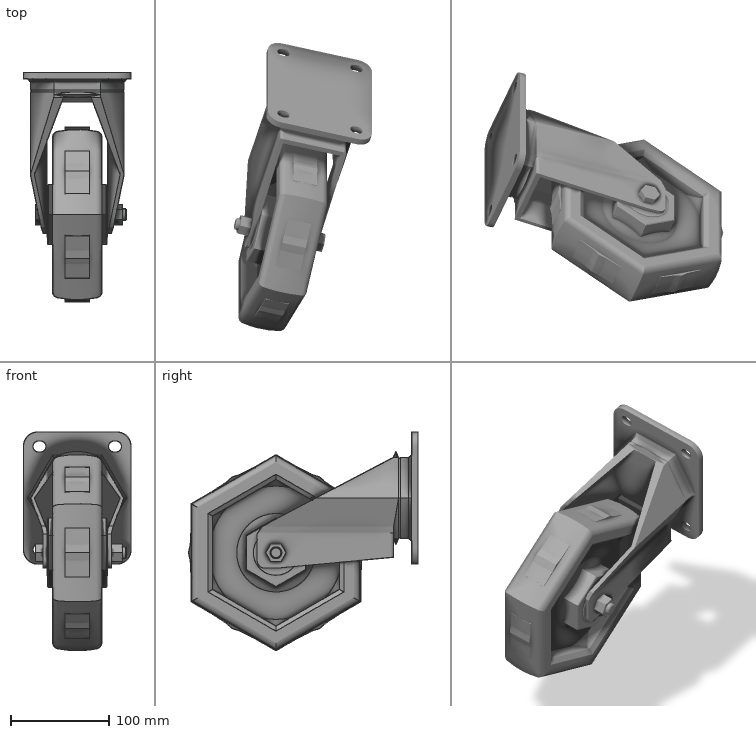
import math

import cadquery as cq


PLATE_WIDTH = 110.0
PLATE_HEIGHT = 135.0
PLATE_THICKNESS = 6.7
PLATE_CORNER_RADIUS = 15.0
PLATE_BACK_Y = 145.0
PLATE_TOP_Z = 123.32
SLOT_LENGTH = 13.0
SLOT_WIDTH = 11.0
SLOT_PITCH_X = 77.0
SLOT_PITCH_Z = 105.0

SWIVEL_Z = PLATE_TOP_Z - PLATE_HEIGHT / 2
PLATE_FRONT_Y = PLATE_BACK_Y - PLATE_THICKNESS

RACEWAY_RADIUS = 47.8
RACEWAY_FLARE_RADIUS = 50.5
RACEWAY_FLARE_DEPTH = 3.2
RACEWAY_LAND_DEPTH = 8.0
RACEWAY_NECK_RADIUS = 47.0
RACEWAY_NECK_DEPTH = 2.0

CROWN_BACK_Y = PLATE_FRONT_Y - RACEWAY_FLARE_DEPTH - RACEWAY_LAND_DEPTH - RACEWAY_NECK_DEPTH
CROWN_THICKNESS = 5.5
CROWN_FRONT_Y = CROWN_BACK_Y - CROWN_THICKNESS
CROWN_LIP_RADIUS = 47.5
LEG_INNER_X = 31.0
LEG_OUTER_X = 35.0
LEG_BEND_INNER_Z = 24.0
LEG_BEND_OUTER_X = 36.4
LEG_BEND_OUTER_Z = 26.5
LEG_BEND_LOWER_Z = 20.2
SHELL_INNER_X = 43.7
SHELL_TOP_INNER_X = 14.0
LEG_BOTTOM_Z = -15.8
LEG_HEEL_Z = -4.7
LEG_END_Y = -19.2
LEG_BACK_Y = 120.0
LEG_BACK_CORNER_RADIUS = 3.0
APRON_THICKNESS = 5.3
LEG_NOSE_Y = -13.8
LEG_NOSE_Z = 27.2
LEG_NOSE_BEVEL_Z = 19.2
LEG_TOE_RADIUS = 8.0

TYRE_RADIUS = 100.0
TYRE_SHOULDER_RADIUS = 98.2
TYRE_SHOULDER_X = 18.9
TYRE_ARC_MID_RADIUS = 96.0
TYRE_ARC_MID_X = 23.2
TYRE_SIDE_RADIUS = 92.0
WHEEL_HALF_WIDTH = 25.2
RIM_RADIUS = 80.0
RIM_LIP_RADIUS = 74.8
RIM_LIP_X = 20.7
WEB_HALF_THICKNESS = 9.5
WEB_EDGE_RADIUS = 68.0
WEB_SLOPE_TOP_X = 17.8
HUB_RADIUS = 35.5
HUB_HALF_LENGTH = 30.2
HUB_CHAMFER = 0.8
HUB_ROOT_RADIUS = 40.0
HUB_ROOT_TOP_RADIUS = 31.0
HUB_ROOT_TOP_X = 14.2

LUG_WIDTH = 25.0
LUG_HALF_LENGTH = 25.0
LUG_PEAK_RADIUS = 89.28
LUG_SHOULDER_RADIUS = 87.5
LUG_SHOULDER_HALF_LENGTH = 8.0

AXLE_RADIUS = 6.0
AXLE_END_X = 50.1
AXLE_END_CHAMFER = 1.0
WRENCH_SIZE = 18.0
HEAD_HEIGHT = 7.7
NUT_HEIGHT = 11.1
WASHER_RADIUS = 23.0

SIDES = 6
SIDE_ANGLE = 360.0 / SIDES
FLAT_RATIO = math.cos(math.pi / SIDES)


def plane_across_swivel(y):
    """Plane square to the swivel axis at y, with its normal toward -Y."""
    return cq.Workplane("XZ", origin=(0, y, SWIVEL_Z))


def hexagon_frustum(back_y, front_y, back_radius, front_radius):
    """Hexagonal block along the swivel axis, with corners toward +X and -X."""
    return (
        plane_across_swivel(back_y)
        .polygon(SIDES, 2 * back_radius)
        .workplane(offset=back_y - front_y)
        .polygon(SIDES, 2 * front_radius)
        .loft(ruled=True)
    )


def axle_cylinder(start_x, end_x, radius):
    return cq.Workplane("YZ", origin=(start_x, 0, 0)).circle(radius).extrude(end_x - start_x)


def axle_hexagon(start_x, end_x):
    """Hexagonal wrench block along the axle, with corners toward +Y and -Y."""
    corner_diameter = WRENCH_SIZE / FLAT_RATIO
    return cq.Workplane("YZ", origin=(start_x, 0, 0)).polygon(SIDES, corner_diameter).extrude(end_x - start_x)


def around_wheel(side):
    """Six copies of one wheel side, joined."""
    ring = side
    for index in range(1, SIDES):
        ring = ring.union(side.rotate((0, 0, 0), (1, 0, 0), index * SIDE_ANGLE))
    return ring


def hexagon_ring(profile):
    """Mitred hexagonal ring about the axle from a closed profile of x and flat distance."""
    reach = 2 * TYRE_RADIUS
    half_base = reach * math.tan(math.pi / SIDES)
    wedge = (
        cq.Workplane("YZ", origin=(-reach / 2, 0, 0))
        .polyline([(0, 0), (reach, -half_base), (reach, half_base)])
        .close()
        .extrude(reach)
    )
    return around_wheel(profile.extrude(reach, both=True).intersect(wedge))


def flat(radius):
    """Distance from the axle to a flat for a given corner radius."""
    return radius * FLAT_RATIO


def make_plate():
    plate = plane_across_swivel(PLATE_BACK_Y).rect(PLATE_WIDTH, PLATE_HEIGHT).extrude(PLATE_THICKNESS)
    plate = plate.edges("|Y").fillet(PLATE_CORNER_RADIUS)
    slots = (
        plane_across_swivel(PLATE_BACK_Y)
        .rect(SLOT_PITCH_X, SLOT_PITCH_Z, forConstruction=True)
        .vertices()
        .slot2D(SLOT_LENGTH, SLOT_WIDTH)
        .extrude(PLATE_THICKNESS)
    )
    return plate.cut(slots)


def make_raceway():
    flare_end_y = PLATE_FRONT_Y - RACEWAY_FLARE_DEPTH
    land_end_y = flare_end_y - RACEWAY_LAND_DEPTH
    flare = hexagon_frustum(PLATE_FRONT_Y, flare_end_y, RACEWAY_FLARE_RADIUS, RACEWAY_RADIUS)
    land = hexagon_frustum(flare_end_y, land_end_y, RACEWAY_RADIUS, RACEWAY_RADIUS)
    neck = hexagon_frustum(land_end_y, CROWN_BACK_Y, RACEWAY_NECK_RADIUS, RACEWAY_NECK_RADIUS)
    return flare.union(land).union(neck)


def make_crown():
    """Hexagonal fork crown with a pointed lip along its upper and lower flats."""
    crown = hexagon_frustum(CROWN_BACK_Y, CROWN_FRONT_Y, RACEWAY_RADIUS, RACEWAY_RADIUS)
    root_radius = flat(RACEWAY_RADIUS)
    mid_y = (CROWN_BACK_Y + CROWN_FRONT_Y) / 2
    lip = (
        cq.Workplane("XY", origin=(0, 0, SWIVEL_Z))
        .polyline([(0, CROWN_FRONT_Y), (root_radius, CROWN_FRONT_Y), (CROWN_LIP_RADIUS, mid_y),
                   (root_radius, CROWN_BACK_Y), (0, CROWN_BACK_Y)])
        .close()
        .revolve(360, (0, 0, 0), (0, 1, 0))
    )
    lip_length = RACEWAY_RADIUS
    lip_band = plane_across_swivel(CROWN_BACK_Y).rect(lip_length, PLATE_HEIGHT).extrude(CROWN_THICKNESS)
    return crown.union(lip.intersect(lip_band))


def leg_side_outline():
    """Fork leg seen along X: sloped upper edge, blunt nose and tapered lower edge."""
    top_z = SWIVEL_Z + flat(RACEWAY_RADIUS)
    return (
        cq.Workplane("YZ")
        .moveTo(CROWN_BACK_Y, SWIVEL_Z)
        .lineTo(CROWN_BACK_Y, top_z)
        .lineTo(CROWN_FRONT_Y, top_z)
        .lineTo(LEG_NOSE_Y, LEG_NOSE_Z)
        .lineTo(LEG_END_Y, LEG_NOSE_BEVEL_Z)
        .lineTo(LEG_END_Y, LEG_BOTTOM_Z + LEG_TOE_RADIUS)
        .radiusArc((LEG_END_Y + LEG_TOE_RADIUS, LEG_BOTTOM_Z), -LEG_TOE_RADIUS)
        .lineTo(0, LEG_BOTTOM_Z)
        .lineTo(LEG_BACK_Y, LEG_HEEL_Z)
        .lineTo(LEG_BACK_Y, LEG_BEND_OUTER_Z)
        .close()
    )


def make_leg():
    """Leg on the +X side: a bent sheet trimmed to the side outline."""
    top_z = SWIVEL_Z + flat(RACEWAY_RADIUS)
    length = CROWN_BACK_Y - LEG_END_Y
    sheet = (
        cq.Workplane("XZ", origin=(0, CROWN_BACK_Y, 0))
        .polyline([
            (LEG_INNER_X, LEG_BOTTOM_Z),
            (LEG_OUTER_X, LEG_BOTTOM_Z),
            (LEG_OUTER_X, LEG_BEND_LOWER_Z),
            (LEG_BEND_OUTER_X, LEG_BEND_OUTER_Z),
            (RACEWAY_RADIUS, SWIVEL_Z),
            (RACEWAY_RADIUS / 2, top_z),
            (SHELL_TOP_INNER_X, top_z),
            (SHELL_INNER_X, SWIVEL_Z),
            (LEG_INNER_X, LEG_BEND_INNER_Z),
        ])
        .close()
        .extrude(length)
    )
    return sheet.intersect(leg_side_outline().extrude(PLATE_WIDTH))


def make_apron():
    """Upright sheet that joins the legs below the crown."""
    height = LEG_BEND_LOWER_Z - LEG_HEEL_Z
    base = cq.Workplane("XY", origin=(0, LEG_BACK_Y - APRON_THICKNESS, LEG_HEEL_Z))
    return base.box(2 * LEG_OUTER_X, APRON_THICKNESS, height, centered=(True, False, False))


def leg_corner_cutter():
    """Cutter that rounds the upright back corner of the leg on the +X side."""
    radius = LEG_BACK_CORNER_RADIUS
    return (
        cq.Workplane("XY", origin=(0, 0, LEG_HEEL_Z))
        .moveTo(LEG_OUTER_X - radius, LEG_BACK_Y)
        .lineTo(LEG_OUTER_X, LEG_BACK_Y)
        .lineTo(LEG_OUTER_X, LEG_BACK_Y - radius)
        .radiusArc((LEG_OUTER_X - radius, LEG_BACK_Y), -radius)
        .close()
        .extrude(LEG_BEND_LOWER_Z - LEG_HEEL_Z)
    )


def make_fork():
    leg = make_leg()
    corner = leg_corner_cutter()
    frame = make_apron().union(leg).union(leg.mirror("YZ"))
    frame = frame.cut(corner).cut(corner.mirror("YZ"))
    fork = frame.union(make_crown())
    return fork.cut(axle_cylinder(-AXLE_END_X, AXLE_END_X, AXLE_RADIUS))


def make_lugs():
    """Six ridged lugs, rooted in the rim."""
    lug = (
        cq.Workplane("YZ", origin=(-LUG_WIDTH / 2, 0, 0))
        .polyline([
            (flat(RIM_LIP_RADIUS), -LUG_HALF_LENGTH),
            (flat(TYRE_RADIUS), -LUG_HALF_LENGTH),
            (LUG_SHOULDER_RADIUS, -LUG_SHOULDER_HALF_LENGTH),
            (LUG_PEAK_RADIUS, 0),
            (LUG_SHOULDER_RADIUS, LUG_SHOULDER_HALF_LENGTH),
            (flat(TYRE_RADIUS), LUG_HALF_LENGTH),
            (flat(RIM_LIP_RADIUS), LUG_HALF_LENGTH),
        ])
        .close()
        .extrude(LUG_WIDTH)
    )
    return [lug.rotate((0, 0, 0), (1, 0, 0), index * SIDE_ANGLE) for index in range(SIDES)]


def make_tyre(lugs):
    """Crowned tread with rounded shoulders and a window for each lug."""
    shoulder_r = flat(TYRE_SHOULDER_RADIUS)
    arc_mid_r = flat(TYRE_ARC_MID_RADIUS)
    profile = (
        cq.Workplane("XY")
        .moveTo(-WHEEL_HALF_WIDTH, flat(RIM_RADIUS))
        .lineTo(-WHEEL_HALF_WIDTH, flat(TYRE_SIDE_RADIUS))
        .threePointArc((-TYRE_ARC_MID_X, arc_mid_r), (-TYRE_SHOULDER_X, shoulder_r))
        .threePointArc((0, flat(TYRE_RADIUS)), (TYRE_SHOULDER_X, shoulder_r))
        .threePointArc((TYRE_ARC_MID_X, arc_mid_r), (WHEEL_HALF_WIDTH, flat(TYRE_SIDE_RADIUS)))
        .lineTo(WHEEL_HALF_WIDTH, flat(RIM_RADIUS))
        .close()
    )
    tyre = hexagon_ring(profile)
    for lug in lugs:
        tyre = tyre.cut(lug)
    return tyre


def make_rim_blank():
    """Rim, web and hub, with hexagonal pockets on both faces."""
    right_edge = [
        (WHEEL_HALF_WIDTH, flat(RIM_RADIUS)),
        (RIM_LIP_X, flat(RIM_LIP_RADIUS)),
        (WEB_HALF_THICKNESS, flat(RIM_LIP_RADIUS)),
        (WEB_HALF_THICKNESS, flat(HUB_RADIUS)),
        (HUB_HALF_LENGTH - HUB_CHAMFER, flat(HUB_RADIUS)),
        (HUB_HALF_LENGTH, flat(HUB_RADIUS) - HUB_CHAMFER),
        (HUB_HALF_LENGTH, AXLE_RADIUS),
    ]
    left_edge = [(-x, r) for x, r in reversed(right_edge)]
    return hexagon_ring(cq.Workplane("XY").polyline(right_edge + left_edge).close())


def make_pocket_slope():
    """Sloped corner fill on the +X side, between the web's round edge and the hexagonal wall."""
    hexagon = hexagon_ring(cq.Workplane("XY").rect(2 * WEB_SLOPE_TOP_X, 2 * flat(RIM_LIP_RADIUS)))
    opening = (
        cq.Workplane("XY")
        .polyline([(0, 0), (0, WEB_EDGE_RADIUS), (WEB_HALF_THICKNESS, WEB_EDGE_RADIUS),
                   (WEB_SLOPE_TOP_X, RIM_LIP_RADIUS), (WEB_SLOPE_TOP_X, 0)])
        .close()
        .revolve(360, (0, 0, 0), (1, 0, 0))
    )
    right_half = cq.Workplane("YZ").rect(3 * RIM_RADIUS, 3 * RIM_RADIUS).extrude(WEB_SLOPE_TOP_X)
    return hexagon.intersect(right_half).cut(opening)


def make_hub_root():
    """Cone that widens the hub into the web on the +X side."""
    return (
        cq.Workplane("XY")
        .polyline([(0, AXLE_RADIUS), (0, HUB_ROOT_RADIUS), (WEB_HALF_THICKNESS, HUB_ROOT_RADIUS),
                   (HUB_ROOT_TOP_X, HUB_ROOT_TOP_RADIUS), (HUB_ROOT_TOP_X, AXLE_RADIUS)])
        .close()
        .revolve(360, (0, 0, 0), (1, 0, 0))
    )


def make_rim(lugs):
    rim = make_rim_blank()
    for detail in (make_pocket_slope(), make_hub_root()):
        rim = rim.union(detail).union(detail.mirror("YZ"))
    for lug in lugs:
        rim = rim.union(lug)
    return rim.cut(axle_cylinder(-HUB_HALF_LENGTH, HUB_HALF_LENGTH, AXLE_RADIUS))


def make_washer(start_x):
    """Washer between the hub and a fork leg."""
    thickness = LEG_INNER_X - HUB_HALF_LENGTH
    washer = axle_cylinder(start_x, start_x + thickness, WASHER_RADIUS)
    return washer.cut(axle_cylinder(start_x, start_x + thickness, AXLE_RADIUS))


def make_bolt():
    head = axle_hexagon(-LEG_OUTER_X - HEAD_HEIGHT, -LEG_OUTER_X)
    shank = axle_cylinder(-LEG_OUTER_X, AXLE_END_X, AXLE_RADIUS).faces(">X").chamfer(AXLE_END_CHAMFER)
    return head.union(shank)


def make_nut():
    nut = axle_hexagon(LEG_OUTER_X, LEG_OUTER_X + NUT_HEIGHT)
    return nut.cut(axle_cylinder(LEG_OUTER_X, LEG_OUTER_X + NUT_HEIGHT, AXLE_RADIUS))


lugs = make_lugs()
plate = make_plate()
raceway = make_raceway()
fork = make_fork()
tyre = make_tyre(lugs)
rim = make_rim(lugs)
washers = [make_washer(start_x) for start_x in (-LEG_INNER_X, HUB_HALF_LENGTH)]
bolt = make_bolt()
nut = make_nut()

result = cq.Compound.makeCompound([
    plate.solids().val(),
    raceway.solids().val(),
    fork.solids().val(),
    tyre.solids().val(),
    rim.solids().val(),
    *[washer.solids().val() for washer in washers],
    bolt.solids().val(),
    nut.solids().val(),
])